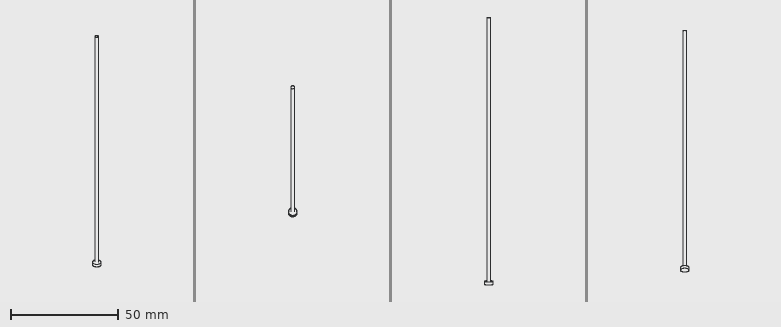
import cadquery as cq

shank_length = 125.0
head_diameter = 4.0
head_height = 1.5
shank_diameter = 1.7
neck_fillet_radius = 0.2

overall_length = head_height + shank_length
head_radius = head_diameter / 2
shank_radius = shank_diameter / 2


def make_half_profile():
    """Half section of the pin in the XZ plane, with a concave fillet where shank meets head."""
    return (
        cq.Workplane("XZ")
        .lineTo(head_radius, 0)
        .lineTo(head_radius, head_height)
        .lineTo(shank_radius + neck_fillet_radius, head_height)
        .radiusArc((shank_radius, head_height + neck_fillet_radius), neck_fillet_radius)
        .lineTo(shank_radius, overall_length)
        .lineTo(0, overall_length)
        .close()
    )


def turn_pin(half_profile):
    """Turn the half section a full revolution about the Z axis."""
    return half_profile.revolve(axisStart=(0, 0, 0), axisEnd=(0, 1, 0))


result = turn_pin(make_half_profile())